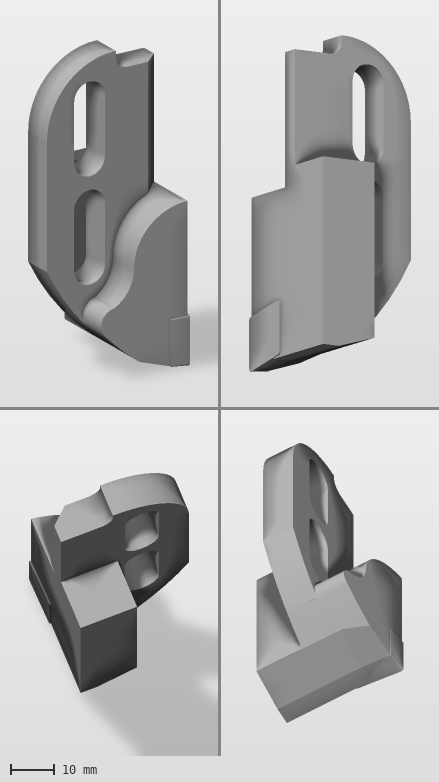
import cadquery as cq
import math

block_width = 11.95
plate_width = 7.9
plate_end = block_width + plate_width

back_y = 31.4
block_front_y = 17.55

base_z = 1.5
block_top = 45.1
shoulder_z = 72.0
overall_height = 76.6

nose_radius = 18.2
lip_y = 18.7
lip_fillet = 3.0
front_edge_z = 26.35
curve_mid = (7.5, 14.5)
curve_end = (19.45, 3.1)

slot_length = 23.2
slot_width = 8.35
slot_y = 11.6
slot_centers_z = (32.4, 59.0)

bevel_x = 3.7
bevel_y = 4.05

wing_top = 40.6
crown_radius = 14.4
crown_front = (17.9, 26.2)
gullet_end = (12.95, 17.4)
toe_mid = (9.7, 14.0)
toe_end = (10.8, 10.65)
side_inset = 0.15

slope_start_x = 22.5
slope_rate = 0.12
ramp_back_y = 27.2
ramp_front_z = 4.45

insert_left = 17.85
insert_right = 30.5
insert_height = 12.7
insert_thickness = 4.7
insert_back_y = 31.9
insert_tilt = 10.3
corner_radius = 0.7
relief_angle = 7.0

MARGIN = 3.8


def extrude_yz(profile, start_x, length):
    """Extrude a closed (y, z) profile along +X from start_x."""
    return profile(cq.Workplane("YZ", origin=(start_x, 0, 0))).extrude(length)


def block_profile(plane):
    return plane.moveTo(block_front_y, 0).lineTo(back_y, 0).lineTo(back_y, block_top).lineTo(
        block_front_y, block_top).close()


def plate_profile(plane):
    diagonal = nose_radius * (1 - math.sqrt(0.5))
    fillet_step = lip_fillet * (1 - math.sqrt(0.5))
    return (
        plane.moveTo(0, front_edge_z)
        .threePointArc(curve_mid, curve_end)
        .lineTo(curve_end[0], 0)
        .lineTo(back_y, 0)
        .lineTo(back_y, shoulder_z)
        .lineTo(lip_y + lip_fillet, shoulder_z)
        .threePointArc(
            (lip_y + fillet_step, shoulder_z + fillet_step),
            (lip_y, shoulder_z + lip_fillet),
        )
        .lineTo(lip_y, overall_height)
        .lineTo(nose_radius, overall_height)
        .threePointArc((diagonal, overall_height - diagonal), (0, overall_height - nose_radius))
        .close()
    )


def wing_profile(plane):
    crown_center_y = crown_front[0] + crown_radius
    crown_end_z = crown_front[1] + math.sqrt(crown_radius**2 - (crown_center_y - back_y)**2)
    crown_step = crown_radius * math.sqrt(0.5)
    return (
        plane.moveTo(back_y, crown_end_z)
        .threePointArc((crown_center_y - crown_step, crown_front[1] + crown_step), crown_front)
        .tangentArcPoint(gullet_end, relative=False)
        .threePointArc(toe_mid, toe_end)
        .lineTo(back_y, toe_end[1])
        .close()
    )


def lower_wing_profile(plane):
    """Everything behind the curved front edge, up to the height of its upper end."""
    return (
        plane.moveTo(0, front_edge_z)
        .threePointArc(curve_mid, curve_end)
        .lineTo(curve_end[0], 0)
        .lineTo(back_y, 0)
        .lineTo(back_y, front_edge_z)
        .close()
    )


def under_profile(plane, drop):
    """Space below the holder: flat at the back and ramping up toward the front."""
    ramp_rate = (ramp_front_z - base_z) / (ramp_back_y - block_front_y)
    front_y = block_front_y - MARGIN
    front_z = ramp_front_z + ramp_rate * MARGIN
    return plane.polyline([
        (back_y + MARGIN, base_z - drop),
        (ramp_back_y, base_z - drop),
        (front_y, front_z - drop),
        (front_y, -MARGIN),
        (back_y + MARGIN, -MARGIN),
    ]).close()


def make_plate():
    plate = extrude_yz(plate_profile, block_width, plate_width)
    slots = (
        cq.Workplane("YZ", origin=(block_width, 0, 0))
        .pushPoints([(slot_y, z) for z in slot_centers_z])
        .slot2D(slot_length, slot_width, 90)
        .extrude(plate_width)
    )
    bevel = (
        cq.Workplane("XY", origin=(0, 0, toe_end[1]))
        .polyline([(plate_end - bevel_x, back_y), (plate_end, back_y), (plate_end, back_y - bevel_y)])
        .close()
        .extrude(overall_height)
    )
    return plate.cut(slots).cut(bevel)


def make_wing():
    """Wing whose outer side leans at the relief angle, set in slightly from the insert."""
    start_x = plate_end - bevel_x
    length = insert_right - start_x
    wing = extrude_yz(wing_profile, start_x, length)
    below_toe = cq.Workplane("XY").box(
        length, back_y, toe_end[1], centered=False).translate((start_x, 0, 0))
    wing = wing.union(extrude_yz(lower_wing_profile, start_x, length).intersect(below_toe))
    lean = insert_back_y * math.tan(math.radians(relief_angle))
    side_x = insert_right - side_inset
    outside = (
        cq.Workplane("XY")
        .polyline([
            (side_x, insert_back_y),
            (side_x - lean, 0),
            (insert_right, 0),
            (insert_right, insert_back_y),
        ])
        .close()
        .extrude(wing_top + MARGIN)
    )
    return wing.cut(outside)


def make_underside():
    flat = under_profile(cq.Workplane("YZ"), 0).extrude(slope_start_x)
    sloped_length = insert_right - slope_start_x
    sloped = under_profile(cq.Workplane("YZ", origin=(slope_start_x, 0, 0)), 0)
    sloped = under_profile(sloped.workplane(offset=sloped_length), slope_rate * sloped_length)
    return flat.union(sloped.loft(ruled=True))


def make_insert():
    """Round-cornered parallelogram that tapers toward its seat; its lowest point is at z = 0."""
    tilt = math.radians(insert_tilt)
    rise = (insert_right - insert_left) * math.tan(tilt)
    tip_z = -corner_radius * (math.tan(tilt) + 1 / math.cos(tilt) - 1)
    corners = [
        (insert_left, tip_z + rise),
        (insert_right, tip_z),
        (insert_right, tip_z + insert_height),
        (insert_left, tip_z + insert_height + rise),
    ]
    outline = cq.Sketch().polygon(corners + corners[:1]).vertices().fillet(corner_radius)
    return (
        cq.Workplane("XZ", origin=(0, insert_back_y, 0))
        .placeSketch(outline)
        .extrude(insert_thickness, taper=relief_angle)
    )


def make_holder(insert):
    block = extrude_yz(block_profile, 0, block_width)
    holder = block.union(make_plate()).union(make_wing())
    return holder.cut(make_underside()).cut(insert)


insert = make_insert()
holder = make_holder(insert)

result = cq.Compound.makeCompound([holder.val(), insert.val()])